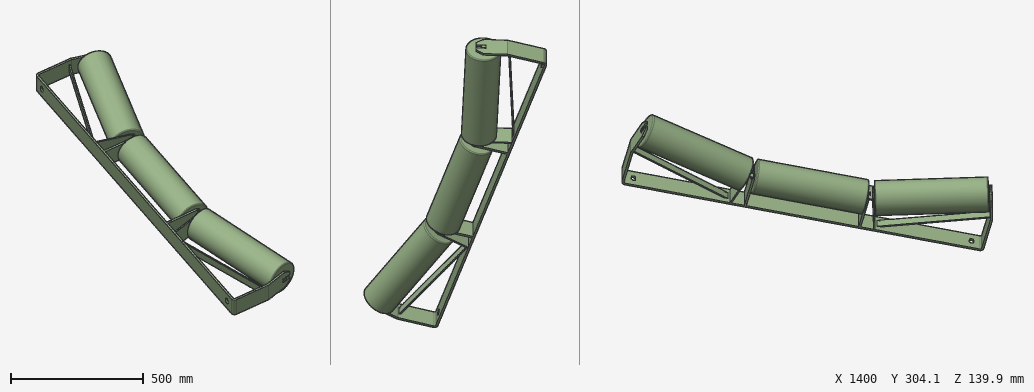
import cadquery as cq
import math

FRAME_LENGTH = 1400.0
BAR_HEIGHT = 80.0
BAR_THICKNESS = 8.0
BEND_RADIUS = 14.0
ARM_KNEE_Y = 157.0
FLAP_LENGTH = 119.0
TIP_CHAMFER_LENGTH = 28.0
TIP_CHAMFER_HEIGHT = 20.0

HOLE_INSET = 46.0
HOLE_WIDTH = 17.0
HOLE_HEIGHT = 25.0

ROLLER_DIAMETER = 133.0
ROLLER_LENGTH = 428.0
ROLLER_EDGE_RADIUS = 4.0
AXLE_DIAMETER = 20.0
AXLE_FLATS_WIDTH = 15.0
SIDE_ANGLE = 15.0
SIDE_RISE = 7.0
MIDDLE_AXIS_Y = 127.0
INNER_END_X = 250.0
INNER_END_Y = 130.0
INNER_GAP = 3.0
OUTER_GAP = 5.0
AXLE_SLOT_WIDTH = 17.0

WEB_TOP_Y = 148.0
WEB_SETBACK = 4.0
TILTED_LEG_THICKNESS = 5.0
TILTED_LEG_OVERHANG = 36.0

BRACE_HEIGHT = 35.0
BRACE_THICKNESS = 5.0
BRACE_ANGLE = 19.5
BRACE_TOP_Y = 153.0

HALF_LENGTH = FRAME_LENGTH / 2
ARM_INNER_X = HALF_LENGTH - BAR_THICKNESS
HALF_ROLLER = ROLLER_LENGTH / 2
FORWARD_TILT = math.degrees(math.asin(SIDE_RISE / ROLLER_LENGTH))
TILT = math.radians(SIDE_ANGLE)


def tilted(origin, axial, across):
    """XY point offset from origin along and across the right-hand roller axis."""
    return (
        origin[0] + axial * math.cos(TILT) - across * math.sin(TILT),
        origin[1] + axial * math.sin(TILT) + across * math.cos(TILT),
    )


def plate(outline, height):
    """Bar with the given XY outline, centred on Z = 0."""
    return cq.Workplane("XY").polyline(outline).close().extrude(height / 2, both=True)


def nearest(x, y, z):
    return cq.selectors.NearestToPointSelector((x, y, z))


def mirrored(right_half):
    """Left-hand twin of a right-hand shape."""
    return right_half.mirror("YZ")


def make_tip_cutter(anchor, across_to_tip):
    """Pair of wedges that take the top and bottom corners off the free end of a tilted bar."""
    half_height = BAR_HEIGHT / 2
    corner = [
        (across_to_tip, half_height),
        (across_to_tip - TIP_CHAMFER_LENGTH, half_height),
        (across_to_tip, half_height - TIP_CHAMFER_HEIGHT),
    ]
    top = cq.Workplane("YZ").polyline(corner).close().extrude(2 * BAR_THICKNESS, both=True)
    wedges = top.union(top.mirror("XY"))
    return wedges.rotate((0, 0, 0), (0, 0, 1), SIDE_ANGLE).translate((*anchor, 0))


def make_half_strap():
    """Right half of the strap: back, arm and the flap tilted to suit the side roller."""
    knee = (HALF_LENGTH, ARM_KNEE_Y)
    tip = tilted(knee, 0, FLAP_LENGTH)
    inner_tip = tilted(knee, -BAR_THICKNESS, FLAP_LENGTH)
    inner_knee = (ARM_INNER_X, ARM_KNEE_Y - BAR_THICKNESS * math.tan(TILT / 2))
    outline = [
        (0, 0),
        (HALF_LENGTH, 0),
        knee,
        tip,
        inner_tip,
        inner_knee,
        (ARM_INNER_X, BAR_THICKNESS),
        (0, BAR_THICKNESS),
    ]
    half = plate(outline, BAR_HEIGHT)
    half = half.edges(nearest(HALF_LENGTH, 0, 0)).fillet(BEND_RADIUS)
    half = half.edges(nearest(ARM_INNER_X, BAR_THICKNESS, 0)).fillet(BEND_RADIUS - BAR_THICKNESS)
    half = half.cut(make_tip_cutter(knee, FLAP_LENGTH))
    hole = (
        cq.Workplane("XZ")
        .center(HALF_LENGTH - HOLE_INSET, 0)
        .slot2D(HOLE_HEIGHT, HOLE_WIDTH, 90)
        .extrude(-BAR_THICKNESS)
    )
    return half.cut(hole)


def make_tilted_leg():
    """Leg parallel to the inner end face of the right-hand roller."""
    inner_end = (INNER_END_X, INNER_END_Y)
    near = -INNER_GAP
    far = near - TILTED_LEG_THICKNESS
    foot = (BAR_THICKNESS / 2 - INNER_END_Y) / math.cos(TILT)
    outline = [
        tilted(inner_end, near, foot),
        tilted(inner_end, near, TILTED_LEG_OVERHANG),
        tilted(inner_end, far, TILTED_LEG_OVERHANG),
        tilted(inner_end, far, foot),
    ]
    return plate(outline, BAR_HEIGHT).cut(make_tip_cutter(inner_end, TILTED_LEG_OVERHANG))


def make_upright():
    """Leg beside the middle roller, with a web on top that reaches across to the tilted leg."""
    face_x = HALF_ROLLER + INNER_GAP
    web_bottom = WEB_TOP_Y - TILTED_LEG_THICKNESS
    leg_x = INNER_END_X - (INNER_GAP + TILTED_LEG_THICKNESS / 2) / math.cos(TILT)
    web_end_x = leg_x - (WEB_TOP_Y - INNER_END_Y) * math.tan(TILT)
    outline = [
        (face_x, BAR_THICKNESS / 2),
        (face_x, web_bottom),
        (face_x + WEB_SETBACK, web_bottom),
        (face_x + WEB_SETBACK, WEB_TOP_Y),
        (web_end_x, WEB_TOP_Y),
        (web_end_x, web_bottom),
        (face_x + BAR_THICKNESS, web_bottom),
        (face_x + BAR_THICKNESS, BAR_THICKNESS / 2),
    ]
    return plate(outline, BAR_HEIGHT)


def make_brace():
    """Thin diagonal strip from the arm down to the back of the strap."""
    slope = math.tan(math.radians(BRACE_ANGLE))
    drop = BRACE_THICKNESS / math.cos(math.radians(BRACE_ANGLE))
    end_x = HALF_LENGTH - BAR_THICKNESS / 2
    end_y = BAR_THICKNESS / 2
    run = (BRACE_TOP_Y - end_y) / slope
    outline = [
        (end_x, BRACE_TOP_Y),
        (end_x - run, end_y),
        (end_x - run + drop / slope, end_y),
        (end_x, BRACE_TOP_Y - drop),
    ]
    return plate(outline, BRACE_HEIGHT)


def make_axle_slot(centre_x):
    """Cutter across the X axis, square-bottomed just below an axle and open towards +Y."""
    bottom = -AXLE_DIAMETER / 2
    opening = ROLLER_DIAMETER / 2
    return (
        cq.Workplane("YZ", origin=(centre_x, 0, 0))
        .center((bottom + opening) / 2, 0)
        .rect(opening - bottom, AXLE_SLOT_WIDTH)
        .extrude(BAR_THICKNESS, both=True)
    )


def make_roller(left_reach, right_reach):
    """Roller along X from the origin; its flatted axle sticks out by the two reaches."""
    barrel = cq.Workplane("YZ").circle(ROLLER_DIAMETER / 2).extrude(ROLLER_LENGTH)
    barrel = barrel.edges("%CIRCLE").fillet(ROLLER_EDGE_RADIUS)
    axle_length = left_reach + ROLLER_LENGTH + right_reach
    axle_start = cq.Workplane("YZ", origin=(-left_reach, 0, 0))
    axle = axle_start.circle(AXLE_DIAMETER / 2).extrude(axle_length)
    flats = axle_start.rect(AXLE_DIAMETER, AXLE_FLATS_WIDTH).extrude(axle_length)
    return barrel.union(axle.intersect(flats))


def place_side(shape, forward_tilt):
    """Move a shape from the X axis to the right-hand roller axis."""
    raised = shape.rotate((0, 0, 0), (0, 1, 0), -forward_tilt)
    turned = raised.rotate((0, 0, 0), (0, 0, 1), SIDE_ANGLE)
    return turned.translate((INNER_END_X, INNER_END_Y, -SIDE_RISE))


def make_frame():
    """Strap, inner brackets and braces welded into one piece, slotted for the axles."""
    inner_slot = place_side(make_axle_slot(-INNER_GAP - TILTED_LEG_THICKNESS / 2), 0)
    outer_slot = place_side(make_axle_slot(ROLLER_LENGTH + OUTER_GAP + BAR_THICKNESS / 2), 0)
    outer_slot = outer_slot.translate((0, 0, SIDE_RISE))
    upright_slot = make_axle_slot(HALF_ROLLER + INNER_GAP + BAR_THICKNESS / 2)
    upright_slot = upright_slot.translate((0, MIDDLE_AXIS_Y, -SIDE_RISE))
    strap = make_half_strap().cut(outer_slot)
    tilted_leg = make_tilted_leg().cut(inner_slot)
    upright = make_upright().cut(upright_slot)
    half = strap.union(tilted_leg).union(upright).union(make_brace())
    return half.union(mirrored(half))


frame = make_frame()

inner_reach = INNER_GAP + BAR_THICKNESS
middle_roller = make_roller(inner_reach, inner_reach)
middle_roller = middle_roller.translate((-HALF_ROLLER, MIDDLE_AXIS_Y, -SIDE_RISE))

tilted_leg_reach = INNER_GAP + TILTED_LEG_THICKNESS
right_roller = place_side(make_roller(tilted_leg_reach, OUTER_GAP + BAR_THICKNESS), FORWARD_TILT)
left_roller = mirrored(right_roller)

result = cq.Compound.makeCompound(
    [frame.val(), middle_roller.val(), right_roller.val(), left_roller.val()]
)